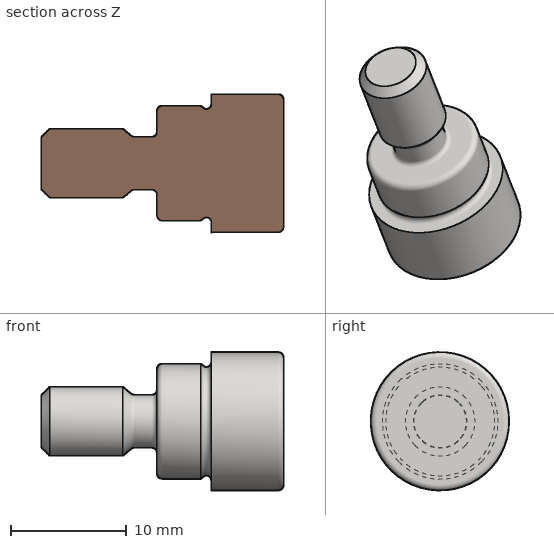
import cadquery as cq
import math

total_length = 21.0

shank_radius = 3.0
shank_end_x = 7.08
shank_chamfer = 0.74

neck_radius = 2.3
collar_x = 10.0
collar_radius = 5.0
groove_x = 13.82
head_x = 14.7
head_radius = total_length * 2 / 7

edge_round = 0.5
relief_radius = 0.4
relief_angle = math.radians(40)


def arc_point(center_x, center_radius, arc_radius, angle):
    """Point on a profile arc; the angle is measured from +X, in radians."""
    return (
        center_x + arc_radius * math.cos(angle),
        center_radius + arc_radius * math.sin(angle),
    )


slope_tangent = -math.pi / 2 - relief_angle
bottom = -math.pi / 2

taper_end_x = shank_end_x + (shank_radius - neck_radius) / math.tan(relief_angle)
taper_arc_x = taper_end_x + relief_radius * math.tan(relief_angle / 2)
taper_arc = (taper_arc_x, neck_radius + relief_radius, relief_radius)

root_arc = (collar_x - relief_radius, neck_radius + relief_radius, relief_radius)

groove_arc_x = head_x - relief_radius
wall_end_x = groove_arc_x - relief_radius * math.sin(relief_angle)
wall_end_radius = collar_radius - (wall_end_x - groove_x) * math.tan(relief_angle)
groove_arc_radius = wall_end_radius + relief_radius * math.cos(relief_angle)
groove_arc = (groove_arc_x, groove_arc_radius, relief_radius)

collar_arc = (collar_x + edge_round, collar_radius - edge_round, edge_round)
head_arc = (total_length - edge_round, head_radius - edge_round, edge_round)

profile = (
    cq.Workplane("XY")
    .lineTo(0, shank_radius - shank_chamfer)
    .lineTo(shank_chamfer, shank_radius)
    .lineTo(shank_end_x, shank_radius)
    .lineTo(*arc_point(*taper_arc, slope_tangent))
    .threePointArc(
        arc_point(*taper_arc, (slope_tangent + bottom) / 2),
        arc_point(*taper_arc, bottom),
    )
    .lineTo(*arc_point(*root_arc, bottom))
    .threePointArc(arc_point(*root_arc, bottom / 2), arc_point(*root_arc, 0))
    .lineTo(*arc_point(*collar_arc, math.pi))
    .threePointArc(
        arc_point(*collar_arc, math.pi * 3 / 4),
        arc_point(*collar_arc, math.pi / 2),
    )
    .lineTo(groove_x, collar_radius)
    .lineTo(*arc_point(*groove_arc, slope_tangent))
    .threePointArc(arc_point(*groove_arc, bottom), arc_point(*groove_arc, 0))
    .lineTo(head_x, head_radius)
    .lineTo(*arc_point(*head_arc, math.pi / 2))
    .threePointArc(arc_point(*head_arc, math.pi / 4), arc_point(*head_arc, 0))
    .lineTo(total_length, 0)
    .close()
)

result = profile.revolve(360, (0, 0, 0), (1, 0, 0))